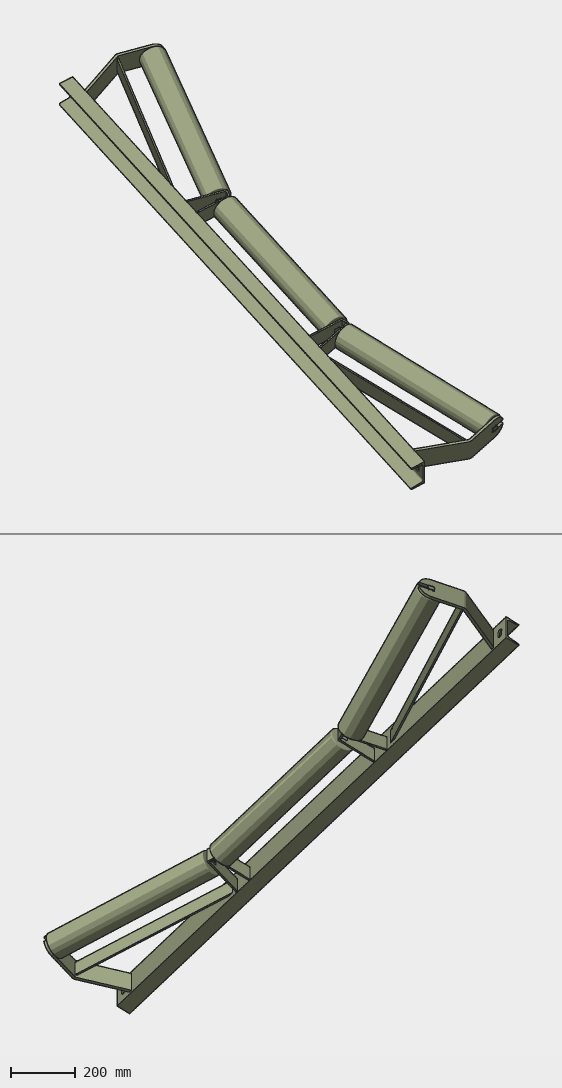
import cadquery as cq
import math


beam_length = 1910.0
beam_height = 100.0
flange_width = 50.0
web_thickness = 5.0
flange_tip_thickness = 6.5
flange_root_thickness = 10.2
root_radius = 8.0
tip_radius = 4.0
mount_slot_width = 17.0
mount_slot_height = 35.0
mount_slot_x = 924.0

roller_radius = 45.0
roller_length = 600.0
rim_radius = 2.9
shaft_diameter = 23.0
shaft_flat_height = 17.0
end_gap = 4.0
centre_axis_y = 120.0
axis_drop = 21.0
wing_inner_x = 342.0
wing_inner_y = 121.0
wing_angle = 15
wing_tilt = 2

inner_height = 60.0
inner_thickness = 5.0
inner_drop = 15.0
inner_top = 145.0
outer_height = 80.0
outer_thickness = 10.0
outer_foot_angle = 22
half_width = 960
bend_y = 170.0
bend_outer_radius = 20
brace_thickness = 5.0
brace_height = 60.0
brace_foot_x = 398.0

foot_allowance = 20
trim_size = 3 * beam_length
shaft_reach_inner = end_gap + inner_thickness
shaft_reach_outer = end_gap + outer_thickness
tan_wing = math.tan(math.radians(wing_angle))
cos_wing = math.cos(math.radians(wing_angle))
sin_wing = math.sin(math.radians(wing_angle))

bend_mid_radius = bend_outer_radius - outer_thickness / 2
tip_y = wing_inner_y + (roller_length + end_gap + outer_thickness / 2) * sin_wing


def bend_point(angle):
    """Point on the mid-plane of the outer bracket's bend, by its angle from X."""
    turn = math.radians(angle)
    x = half_width - bend_outer_radius + bend_mid_radius * math.cos(turn)
    return x, bend_y + bend_mid_radius * math.sin(turn)


def mirrored(body):
    return body.mirror("YZ")


def place_wing(shape):
    """Move a shape made along +X from the origin onto the right-hand wing axis."""
    tilted = shape.rotate((0, 0, 0), (0, 1, 0), -wing_tilt)
    swung = tilted.rotate((0, 0, 0), (0, 0, 1), wing_angle)
    return swung.translate((wing_inner_x, wing_inner_y, -axis_drop))


def place_centre(shape):
    """Move a shape made along +X from the origin onto the centre roller axis."""
    return shape.translate((-roller_length / 2, centre_axis_y, -axis_drop))


def inner_edges_at(y):
    """Select the two lengthwise edges on the inner flange faces at a given Y."""
    margin = 2.0
    inside = beam_height / 2 - flange_tip_thickness / 2
    return cq.selectors.BoxSelector(
        (-beam_length, y - margin, -inside), (beam_length, y + margin, inside)
    ) & cq.selectors.ParallelDirSelector(cq.Vector(1, 0, 0))


def make_beam():
    half = beam_height / 2
    profile = (
        cq.Workplane("YZ", origin=(-beam_length / 2, 0, 0))
        .polyline([
            (0, -half),
            (-flange_width, -half),
            (-flange_width, -half + flange_tip_thickness),
            (-web_thickness, -half + flange_root_thickness),
            (-web_thickness, half - flange_root_thickness),
            (-flange_width, half - flange_tip_thickness),
            (-flange_width, half),
            (0, half),
        ])
        .close()
        .extrude(beam_length)
    )
    beam = profile.edges(inner_edges_at(-web_thickness)).fillet(root_radius)
    beam = beam.edges(inner_edges_at(-flange_width)).fillet(tip_radius)
    slots = (
        cq.Workplane("XZ", origin=(0, flange_width, 0))
        .pushPoints([(-mount_slot_x, 0), (mount_slot_x, 0)])
        .slot2D(mount_slot_height, mount_slot_width, 90)
        .extrude(2 * flange_width)
    )
    return beam.cut(slots)


def make_roller(inner_shaft, outer_shaft):
    """Roller from the origin along +X, with a flatted shaft end on each side."""
    shell = cq.Workplane("YZ").circle(roller_radius).extrude(roller_length)
    shell = shell.edges().fillet(rim_radius)
    return shell.union(make_shaft(inner_shaft, outer_shaft))


def make_shaft(inner_shaft, outer_shaft):
    length = inner_shaft + roller_length + outer_shaft
    bar = cq.Workplane("YZ", origin=(-inner_shaft, 0, 0)).circle(shaft_diameter / 2).extrude(length)
    flats = cq.Workplane("XY").box(2 * trim_size, shaft_diameter, shaft_flat_height)
    return bar.intersect(flats)


def make_strip(path, start, direction, thickness, height):
    """Flat strip standing on edge along Z, swept along a path in the XY plane."""
    plane = cq.Plane(origin=(*start, 0), xDir=(0, 0, 1), normal=(*direction, 0))
    return cq.Workplane(plane).rect(height, thickness).sweep(path, transition="right")


def trim_at_beam(strip):
    below = cq.Workplane("XY").box(trim_size, trim_size, trim_size)
    return strip.cut(below.translate((0, -trim_size / 2, 0)))


def make_inner_bracket():
    centre_x = roller_length / 2 + end_gap + inner_thickness / 2
    setback = (end_gap + inner_thickness / 2) / cos_wing

    def slanted_x(y):
        return wing_inner_x - setback + (wing_inner_y - y) * tan_wing

    slant_top_x = slanted_x(inner_top)
    bridge_end_y = inner_top - (slant_top_x - centre_x) * tan_wing
    start = (centre_x, -foot_allowance)
    path = cq.Workplane("XY").polyline([
        start,
        (centre_x, bridge_end_y),
        (slant_top_x, inner_top),
        (slanted_x(-foot_allowance), -foot_allowance),
    ])
    strip = make_strip(path, start, (0, 1), inner_thickness, inner_height)
    strip = strip.translate((0, 0, -inner_drop))
    shaft = make_shaft(shaft_reach_inner, shaft_reach_inner)
    bracket = trim_at_beam(strip)
    return bracket.cut(place_wing(shaft)).cut(place_centre(shaft))


def make_outer_bracket():
    bend_start = bend_point(wing_angle)
    bend_middle = bend_point((wing_angle - outer_foot_angle) / 2)
    bend_end = bend_point(-outer_foot_angle)
    tip = (bend_start[0] - (tip_y - bend_start[1]) * tan_wing, tip_y)
    foot_run = (bend_end[1] + foot_allowance) * math.tan(math.radians(outer_foot_angle))
    foot = (bend_end[0] - foot_run, -foot_allowance)
    path = (
        cq.Workplane("XY")
        .moveTo(*tip)
        .lineTo(*bend_start)
        .threePointArc(bend_middle, bend_end)
        .lineTo(*foot)
    )
    strip = make_strip(path, tip, (sin_wing, -cos_wing), outer_thickness, outer_height)
    tip_plane = cq.Plane(origin=(*tip, 0), xDir=(0, 0, 1), normal=(cos_wing, sin_wing, 0))
    round_end = cq.Workplane(tip_plane).circle(outer_height / 2).extrude(outer_thickness / 2, both=True)
    slot_length = 2 * outer_height
    slot = cq.Workplane("XY").box(2 * outer_height, slot_length, shaft_flat_height)
    slot = slot.translate((roller_length, (slot_length - shaft_diameter) / 2, 0))
    return trim_at_beam(strip.union(round_end)).cut(place_wing(slot))


def make_brace(outer_bracket):
    start_x, start_y = bend_point((wing_angle - outer_foot_angle) / 2)
    slope = (start_x - brace_foot_x) / start_y
    foot = (brace_foot_x - foot_allowance * slope, -foot_allowance)
    start = (start_x, start_y)
    path = cq.Workplane("XY").polyline([start, foot])
    strip = make_strip(path, start, (-slope, -1), brace_thickness, brace_height)
    return trim_at_beam(strip).cut(outer_bracket)


beam = make_beam()
centre_roller = place_centre(make_roller(shaft_reach_inner, shaft_reach_inner))
wing_roller = place_wing(make_roller(shaft_reach_inner, shaft_reach_outer))
inner_bracket = make_inner_bracket()
outer_bracket = make_outer_bracket()
brace = make_brace(outer_bracket)

solids = [beam.val(), centre_roller.val()]
for body in (wing_roller, inner_bracket, outer_bracket, brace):
    solids.append(body.val())
    solids.append(mirrored(body).val())

result = cq.Compound.makeCompound(solids)